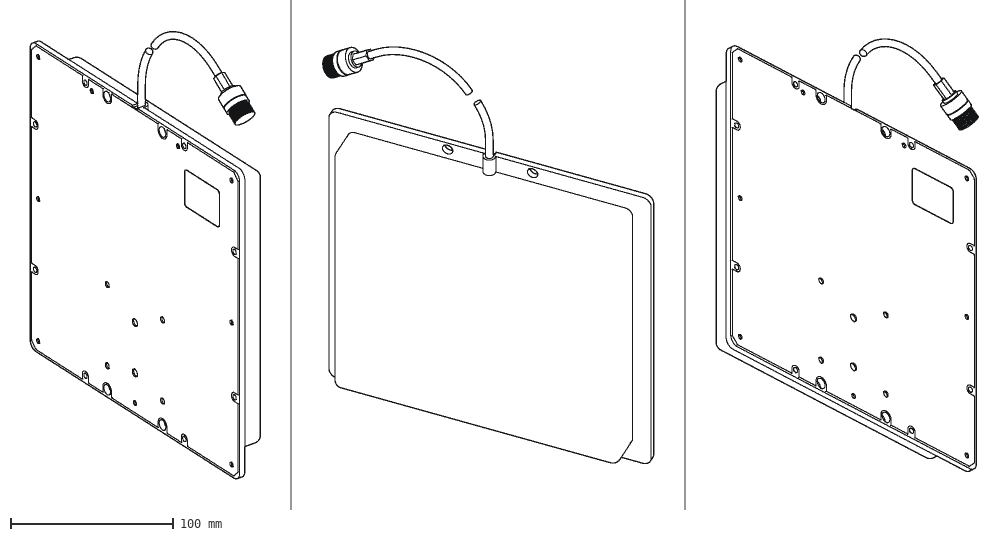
import cadquery as cq
import math


overall_height = 284.5

flange_side = 216.0
flange_thickness = 4.0
flange_corner_radius = 6.0
box_step = 12.5
box_side = flange_side - 2 * box_step
radome_depth = 28.0
box_edge_radius = 5.0

rim_width = 1.56
plate_side = flange_side - 2 * rim_width
plate_thickness = 1.0
plate_corner_chamfer = 4.5

rim_hole_line = 102.7
mounting_hole_offset = 28.5
mounting_hole_radius = 3.5
mounting_notch_radius = 4.5
screw_hole_offset = 51.0
screw_hole_radius = 1.7
screw_hole_depth = 2.8
screw_notch_radius = 3.0

plate_hole_line = 99.5
plate_hole_inner_offset = 44.5
plate_hole_radius = 1.56
bracket_hole_radius = 2.0
bracket_hole_offset = 28.5
bracket_center_z = -57.5
spigot_hole_radius = 2.5
spigot_hole_offset = 17.5
spigot_center_z = -61.0

label_width = 35.8
label_height = 26.0
label_thickness = 0.3
label_corner_radius = 2.3
label_x = 69.5
label_z = 74.0

cable_y = 5.0
cable_radius = 2.42
outlet_radius = 4.0
lower_bend_radius = 51.2
lower_bend_z = 121.2
lower_bend_angle = 32.5
upper_bend_radius = 44.5
upper_bend_x = 50.0
upper_bend_start = 145.5
cable_tail = 5.5

connector_tilt = 35.0
ferrule_length = 13.0
ferrule_corner_radius = 4.0
collar_length = 2.0
collar_radius = 5.0
nut_length = 10.8
nut_radius = 8.0
nut_groove_position = 6.8
nut_groove_width = 0.3
nut_groove_depth = 0.3
thread_length = 8.5
thread_radius = 7.0
thread_depth = 0.5
thread_ring_count = 5

half_flange = flange_side / 2
box_top = box_side / 2
upper_bend_z = overall_height - half_flange - cable_radius - upper_bend_radius


def front_plane(y):
    """Plane parallel to XZ at depth y, with local axes X and Z and its normal toward -Y."""
    return cq.Workplane("XZ", origin=(0, y, 0))


def square_slab(side, y_front, thickness):
    return front_plane(y_front).rect(side, side).extrude(-thickness)


def drill(points, radius, depth):
    return front_plane(0).pushPoints(points).circle(radius).extrude(-depth)


def mirrored(offsets):
    """The four points (+-a, +-b)."""
    a, b = offsets
    return [(a, b), (-a, b), (a, -b), (-a, -b)]


mounting_points = mirrored((mounting_hole_offset, rim_hole_line))
horizontal_screw_points = mirrored((screw_hole_offset, rim_hole_line))
vertical_screw_points = mirrored((rim_hole_line, screw_hole_offset))


def edge_notch(x, z, radius):
    """Round-ended notch, open toward the nearest side of the flange."""
    reach = half_flange - rim_hole_line
    notch = drill([(x, z)], radius, plate_thickness)
    if abs(z) > abs(x):
        mouth = front_plane(0).center(x, z + math.copysign(reach / 2, z)).rect(2 * radius, reach)
    else:
        mouth = front_plane(0).center(x + math.copysign(reach / 2, x), z).rect(reach, 2 * radius)
    return notch.union(mouth.extrude(-plate_thickness))


def make_plate():
    plate = square_slab(plate_side, 0, plate_thickness)
    plate = plate.edges("|Y").chamfer(plate_corner_chamfer)
    for x, z in mounting_points:
        plate = plate.cut(edge_notch(x, z, mounting_notch_radius))
    for x, z in horizontal_screw_points + vertical_screw_points:
        plate = plate.cut(edge_notch(x, z, screw_notch_radius))
    return plate


def make_plate_holes():
    line = plate_hole_line
    screw_points = mirrored((line, line)) + [
        (-line, 0),
        (line, 0),
        (-plate_hole_inner_offset, line),
        (plate_hole_inner_offset, line),
        (0, -line),
    ]
    bracket_points = [
        (x, bracket_center_z + z) for x, z in mirrored((bracket_hole_offset, bracket_hole_offset))
    ]
    spigot_points = [(0, spigot_center_z + side * spigot_hole_offset) for side in (-1, 1)]
    holes = drill(screw_points, plate_hole_radius, plate_thickness)
    holes = holes.union(drill(bracket_points, bracket_hole_radius, plate_thickness))
    return holes.union(drill(spigot_points, spigot_hole_radius, plate_thickness))


def make_radome(plate_blank):
    flange = square_slab(flange_side, 0, flange_thickness)
    flange = flange.edges("|Y").fillet(flange_corner_radius)
    box = square_slab(box_side, flange_thickness, radome_depth - flange_thickness)
    box = box.edges("|Y").fillet(box_edge_radius)
    box = box.faces(">Y").edges().fillet(box_edge_radius)
    outlet = (
        cq.Workplane("XY", origin=(0, cable_y, box_top - box_edge_radius))
        .circle(outlet_radius)
        .extrude(half_flange - box_top + box_edge_radius)
    )
    radome = flange.union(box).union(outlet)
    radome = radome.cut(plate_blank)

    bore = cq.Workplane("XY", origin=(0, cable_y, box_top)).circle(cable_radius).extrude(box_step)
    slot_bottom = plate_side / 2
    slot = cq.Workplane("XY", origin=(0, cable_y / 2, slot_bottom)).rect(2 * cable_radius, cable_y)
    radome = radome.cut(bore).cut(slot.extrude(rim_width))

    radome = radome.cut(drill(mounting_points, mounting_hole_radius, flange_thickness))
    screw_points = horizontal_screw_points + vertical_screw_points
    return radome.cut(drill(screw_points, screw_hole_radius, screw_hole_depth))


def make_label():
    label = front_plane(0).center(label_x, label_z).rect(label_width, label_height)
    return label.extrude(label_thickness).edges("|Y").fillet(label_corner_radius)


def on_circle(center_x, center_z, radius, degrees):
    angle = math.radians(degrees)
    return (center_x + radius * math.cos(angle), center_z + radius * math.sin(angle))


def sweep_cable(path, start, direction):
    """Round cable along a path in the cable plane, given its start point and direction in X, Z."""
    section = cq.Plane(
        origin=(start[0], cable_y, start[1]),
        xDir=(-direction[1], 0, direction[0]),
        normal=(direction[0], 0, direction[1]),
    )
    return cq.Workplane(section).circle(cable_radius).sweep(path)


def make_lower_cable():
    start = (0, box_top)
    middle = on_circle(lower_bend_radius, lower_bend_z, lower_bend_radius, 180 - lower_bend_angle / 2)
    end = on_circle(lower_bend_radius, lower_bend_z, lower_bend_radius, 180 - lower_bend_angle)
    path = front_plane(cable_y).moveTo(*start).lineTo(0, lower_bend_z).threePointArc(middle, end)
    return sweep_cable(path, start, (0, 1))


axis_x = math.cos(math.radians(connector_tilt))
axis_z = -math.sin(math.radians(connector_tilt))
bend_end = on_circle(upper_bend_x, upper_bend_z, upper_bend_radius, 90 - connector_tilt)
cable_end = (bend_end[0] + cable_tail * axis_x, bend_end[1] + cable_tail * axis_z)


def make_upper_cable():
    start = on_circle(upper_bend_x, upper_bend_z, upper_bend_radius, upper_bend_start)
    crown = (upper_bend_x, upper_bend_z + upper_bend_radius)
    path = front_plane(cable_y).moveTo(*start).threePointArc(crown, bend_end).lineTo(*cable_end)
    direction = on_circle(0, 0, 1, upper_bend_start - 90)
    return sweep_cable(path, start, direction)


def connector_plane(distance):
    """Plane square to the connector axis, at a distance beyond the end of the cable."""
    return cq.Workplane(
        cq.Plane(
            origin=(cable_end[0] + distance * axis_x, cable_y, cable_end[1] + distance * axis_z),
            xDir=(0, 1, 0),
            normal=(axis_x, 0, axis_z),
        )
    )


def make_connector():
    nut_start = ferrule_length
    thread_start = nut_start + nut_length
    ferrule = connector_plane(0).transformed(rotate=(0, 0, 90))
    connector = ferrule.polygon(6, 2 * ferrule_corner_radius).extrude(ferrule_length)
    collar = connector_plane(nut_start - collar_length).circle(collar_radius).extrude(collar_length)
    nut = connector_plane(nut_start).circle(nut_radius).extrude(nut_length)
    groove = (
        connector_plane(nut_start + nut_groove_position)
        .circle(nut_radius)
        .circle(nut_radius - nut_groove_depth)
        .extrude(nut_groove_width)
    )
    core = connector_plane(thread_start).circle(thread_radius - thread_depth).extrude(thread_length)
    connector = connector.union(collar).union(nut.cut(groove)).union(core)

    ring_width = thread_length / (2 * thread_ring_count)
    for ring in range(thread_ring_count):
        ring_start = thread_start + (2 * ring + 1) * ring_width
        connector = connector.union(connector_plane(ring_start).circle(thread_radius).extrude(ring_width))
    return connector


plate_blank = make_plate()
back_plate = plate_blank.cut(make_plate_holes())
radome = make_radome(plate_blank)
label = make_label()
lower_cable = make_lower_cable()
upper_cable = make_upper_cable()
connector = make_connector()

bodies = [radome, back_plate, label, lower_cable, upper_cable, connector]
result = cq.Compound.makeCompound([body.solids().val() for body in bodies])